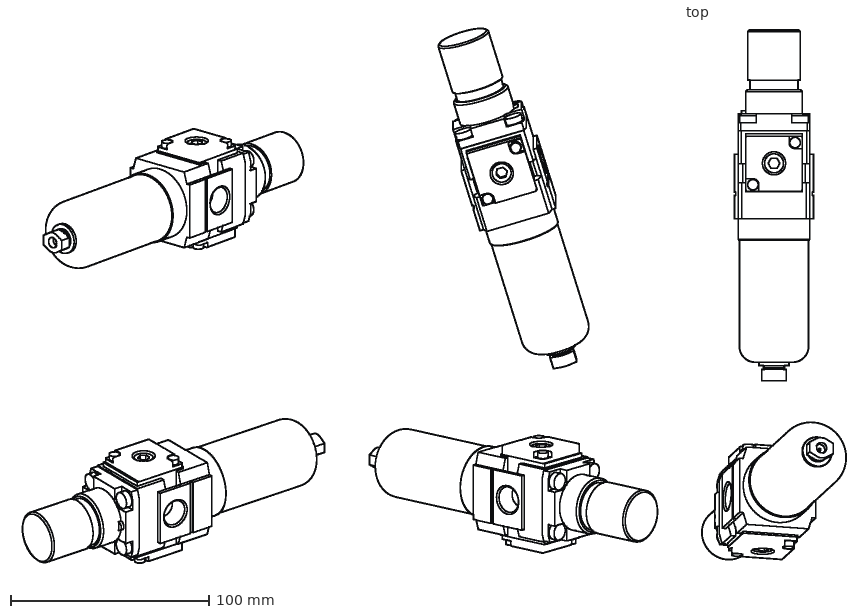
import cadquery as cq
import math


knob_top_y = 88.6
knob_bottom_y = 63.3
collar_top_y = 58.5
bonnet_top_y = 46.3
housing_top_y = 37.8
housing_bottom_y = -6.7
bowl_rim_bottom_y = -17.5
bowl_bottom_y = -79.3
boss_bottom_y = -80.8
stem_shoulder_y = -82.0
nut_top_y = -82.8
nut_bottom_y = -88.6

block_half_width = 18.0
side_half_height = 14.2
side_lean = 0.3
bonnet_half_height = 18.5
housing_upper_half_height = 19.0
housing_lower_half_height = 20.2

port_y = 16.3
pad_half_width = 20.0
pad_top_y = 25.9
pad_groove_top_y = 6.7
pad_groove_bottom_y = 5.1
pad_groove_depth = 0.7
port_mouth_radius = 7.5
port_radius = 6.5
port_end_radius = 5.5
port_chamfer = port_mouth_radius - port_radius
port_depth = 8.9
drill_point_angle = 118.0

slot_top_y = 21.1
slot_bottom_y = 11.5
slot_floor_x = 15.8
slot_floor_z = 10.6

cover_y = 21.1
cover_width = 28.5
cover_length = 27.8
overall_height = 52.0
cover_top_z = overall_height / 2
cover_round = 0.9
seat_y = 21.5
seat_length = 29.3
seat_top_z = 21.1
plug_y = 21.3
plug_recess_radius = 5.9
plug_recess_depth = 0.9
plug_face_radius = 4.8
plug_hex_flats = 5.1
plug_hex_depth = 2.7
cover_screw_offset = 10.6
cover_screw_radius = 2.7
cover_screw_top_z = 25.9
cover_notch_radius = 3.0
cover_notch_depth = 2.8

groove_radius = 12.2
neck_radius = 14.4
collar_chamfer = 1.0
corner_notch_inner = 8.9
corner_notch_floor_y = 41.8
bonnet_screw_offset = 13.1
bonnet_screw_radius = 4.3
bonnet_screw_top_y = 45.2
stop_x = -14.0
stop_radius = 2.5
stop_height = 1.6

knob_radius = 13.3
knob_chamfer = 0.9

bowl_rim_radius = 18.0
bowl_rim_chamfer = 0.4
bowl_radius = 17.5
bowl_round = 8.2
boss_radius = 7.6
stem_radius = 5.3
stem_neck_radius = 4.8
nut_round_radius = 5.3
nut_half_width = 6.2
nut_flank_angle = 30.0
drain_bore_radius = 2.7
drain_bore_depth = 3.5
drain_orifice_radius = 0.5
drain_orifice_depth = 3.5


def box_between(x_range, y_range, z_range):
    """Box given by its two limits along each axis."""
    limits = (x_range, y_range, z_range)
    sizes = [high - low for low, high in limits]
    corner = cq.Vector(*[low for low, high in limits])
    return cq.Workplane(cq.Solid.makeBox(*sizes, corner))


def cylinder_along_y(radius, low_y, high_y, x=0.0, z=0.0):
    """Cylinder along Y between two stations."""
    start = cq.Vector(x, low_y, z)
    along_y = cq.Vector(0, 1, 0)
    return cq.Workplane(cq.Solid.makeCylinder(radius, high_y - low_y, start, along_y))


def port_hole(mouth, inward):
    """Blind port: chamfered mouth, tapered bore and conical drill point."""
    point_length = port_end_radius / math.tan(math.radians(drill_point_angle / 2))
    chamfer = cq.Solid.makeCone(port_mouth_radius, port_radius, port_chamfer, mouth, inward)
    bore_start = mouth + inward * port_chamfer
    bore = cq.Solid.makeCone(port_radius, port_end_radius, port_depth, bore_start, inward)
    point_start = bore_start + inward * port_depth
    point = cq.Solid.makeCone(port_end_radius, 0, point_length, point_start, inward)
    return cq.Workplane(chamfer).union(cq.Workplane(bore)).union(cq.Workplane(point))


def block(half_height, low_y, high_y):
    """Block with upright sides that lean inward above and below the side faces."""
    shoulder = block_half_width
    edge = shoulder - side_lean * (half_height - side_half_height)
    outline = [
        (shoulder, side_half_height),
        (edge, half_height),
        (-edge, half_height),
        (-shoulder, side_half_height),
        (-shoulder, -side_half_height),
        (-edge, -half_height),
        (edge, -half_height),
        (shoulder, -side_half_height),
    ]
    return cq.Workplane("XZ", origin=(0, high_y, 0)).polyline(outline).close().extrude(high_y - low_y)


def clamp_slot(side, face):
    """Edge slot with a flat floor and a bank rising towards the outside."""
    rim_z = side_half_height
    beyond_x = pad_half_width
    beyond_z = cover_top_z
    outline = [
        (cover_width / 2, slot_floor_z),
        (slot_floor_x, slot_floor_z),
        (block_half_width, rim_z),
        (beyond_x, rim_z),
        (beyond_x, beyond_z),
        (cover_width / 2, beyond_z),
    ]
    points = [(side * x, face * z) for x, z in outline]
    slot = cq.Workplane("XZ", origin=(0, slot_top_y, 0)).polyline(points).close()
    return slot.extrude(slot_top_y - slot_bottom_y)


def make_housing():
    body = block(housing_upper_half_height, slot_bottom_y, housing_top_y)
    body = body.union(block(housing_lower_half_height, housing_bottom_y, slot_bottom_y))

    seat_low_y = seat_y - seat_length / 2
    seat = box_between(
        (-cover_width / 2, cover_width / 2),
        (seat_low_y, seat_low_y + seat_length),
        (-seat_top_z, seat_top_z),
    )
    body = body.union(seat)

    pad_z = (-side_half_height, side_half_height)
    body = body.union(box_between((-pad_half_width, pad_half_width), (housing_bottom_y, pad_top_y), pad_z))
    for side in (-1, 1):
        x_range = sorted((side * (pad_half_width - pad_groove_depth), side * pad_half_width))
        body = body.cut(box_between(x_range, (pad_groove_bottom_y, pad_groove_top_y), pad_z))

    for side in (-1, 1):
        for face in (-1, 1):
            body = body.cut(clamp_slot(side, face))

    for side in (-1, 1):
        mouth = cq.Vector(side * pad_half_width, port_y, 0)
        body = body.cut(port_hole(mouth, cq.Vector(-side, 0, 0)))
    return body


def make_bonnet():
    flange = block(bonnet_half_height, housing_top_y, bonnet_top_y)

    beyond = pad_half_width
    for side in (-1, 1):
        for face in (-1, 1):
            x_range = sorted((side * corner_notch_inner, side * beyond))
            z_range = sorted((face * corner_notch_inner, face * beyond))
            flange = flange.cut(box_between(x_range, (corner_notch_floor_y, bonnet_top_y), z_range))
            head = cylinder_along_y(
                bonnet_screw_radius,
                corner_notch_floor_y,
                bonnet_screw_top_y,
                side * bonnet_screw_offset,
                face * bonnet_screw_offset,
            )
            flange = flange.union(head)

    neck = cylinder_along_y(neck_radius, bonnet_top_y, collar_top_y).faces(">Y").chamfer(collar_chamfer)
    neck = neck.union(cylinder_along_y(groove_radius, collar_top_y, knob_bottom_y))

    stop = cylinder_along_y(stop_radius, bonnet_top_y, bonnet_top_y + stop_height, stop_x)
    return flange.union(neck).union(stop)


def make_knob():
    return cylinder_along_y(knob_radius, knob_bottom_y, knob_top_y).faces(">Y").chamfer(knob_chamfer)


def drain_nut():
    """Nut with two upright flats, four flats at the flank angle and a rounded top and bottom."""
    flank = math.radians(nut_flank_angle)
    tangent_x = nut_round_radius * math.sin(flank)
    tangent_z = nut_round_radius * math.cos(flank)
    flat_z = tangent_z - (nut_half_width - tangent_x) * math.tan(flank)
    outline = (
        cq.Workplane("XZ", origin=(0, nut_top_y, 0))
        .moveTo(nut_half_width, flat_z)
        .lineTo(tangent_x, tangent_z)
        .threePointArc((0, nut_round_radius), (-tangent_x, tangent_z))
        .lineTo(-nut_half_width, flat_z)
        .lineTo(-nut_half_width, -flat_z)
        .lineTo(-tangent_x, -tangent_z)
        .threePointArc((0, -nut_round_radius), (tangent_x, -tangent_z))
        .lineTo(nut_half_width, -flat_z)
        .close()
    )
    return outline.extrude(nut_top_y - nut_bottom_y)


def make_bowl():
    bowl = cylinder_along_y(bowl_radius, bowl_bottom_y, bowl_rim_bottom_y)
    bowl = bowl.faces("<Y").edges().fillet(bowl_round)
    rim = cylinder_along_y(bowl_rim_radius, bowl_rim_bottom_y, housing_bottom_y)
    bowl = bowl.union(rim.faces("<Y").chamfer(bowl_rim_chamfer))

    bowl = bowl.union(cylinder_along_y(boss_radius, boss_bottom_y, bowl_bottom_y))
    bowl = bowl.union(cylinder_along_y(stem_radius, stem_shoulder_y, boss_bottom_y))
    bowl = bowl.union(cylinder_along_y(stem_neck_radius, nut_top_y, stem_shoulder_y))
    bowl = bowl.union(drain_nut())
    bore_end_y = nut_bottom_y + drain_bore_depth
    bowl = bowl.cut(cylinder_along_y(drain_bore_radius, nut_bottom_y, bore_end_y))
    return bowl.cut(cylinder_along_y(drain_orifice_radius, bore_end_y, bore_end_y + drain_orifice_depth))


def make_cover():
    """Cover on the +Z face, with a plug recess and two screw heads on opposite corners."""
    cover_middle = (0, cover_y, seat_top_z)
    thickness = cover_top_z - seat_top_z
    cover = cq.Workplane(origin=cover_middle).rect(cover_width, cover_length).extrude(thickness)
    cover = cover.edges("|Z or >Z").fillet(cover_round)

    recess_mouth = cq.Vector(0, plug_y, cover_top_z)
    down = cq.Vector(0, 0, -1)
    recess = cq.Solid.makeCone(plug_recess_radius, plug_face_radius, plug_recess_depth, recess_mouth, down)
    cover = cover.cut(cq.Workplane(recess))
    hex_corners = plug_hex_flats / math.cos(math.radians(30))
    plug_face = cq.Workplane(origin=(0, plug_y, cover_top_z - plug_recess_depth))
    cover = cover.cut(plug_face.polygon(6, hex_corners).extrude(-plug_hex_depth))

    notch_floor_z = cover_top_z - cover_notch_depth
    for corner in (-1, 1):
        x = corner * cover_screw_offset
        y = cover_y + corner * cover_screw_offset
        floor = cq.Workplane(origin=(x, y, notch_floor_z))
        cover = cover.cut(floor.circle(cover_notch_radius).extrude(cover_notch_depth))
        inner_reach = corner * cover_notch_radius
        outer_reach = corner * cover_width / 2
        z_range = (notch_floor_z, cover_top_z)
        for inner_x, inner_y in ((x, y - inner_reach), (x - inner_reach, y)):
            x_range = sorted((inner_x, x + outer_reach))
            y_range = sorted((inner_y, y + outer_reach))
            cover = cover.cut(box_between(x_range, y_range, z_range))
        head = floor.circle(cover_screw_radius).extrude(cover_screw_top_z - notch_floor_z)
        cover = cover.union(head)
    return cover


housing = make_housing()
bonnet = make_bonnet()
knob = make_knob()
bowl = make_bowl()
covers = [make_cover().rotate((0, 0, 0), (0, 1, 0), turn) for turn in (0, 180)]

result = cq.Compound.makeCompound(
    [
        housing.val(),
        bonnet.val(),
        knob.val(),
        bowl.val(),
        *[cover.val() for cover in covers],
    ]
)